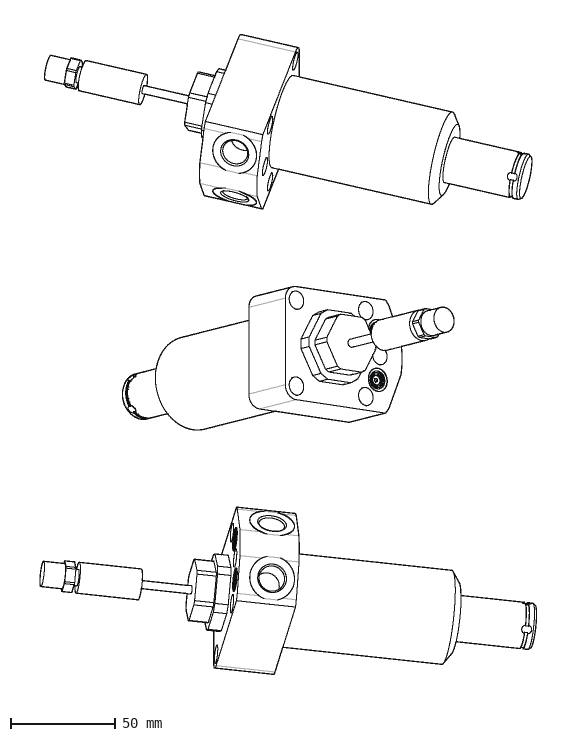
import cadquery as cq
import math


block_length = 28.8
block_half_width = 27.69
block_nose_radius = 43.1
block_corner_radius = 6.5
mount_hole_spacing = 42.0
mount_hole_diameter = 8.8
centre_hole_offset = 29.5

port_angle = 22.8
port_x = 16.35
port_flat_distance = 42.08
port_spotface_depth = 0.25
port_spotface_diameter = 21.8
port_mouth_diameter = 14.0
port_bore_diameter = 12.4
port_depth = 16.0

screw_radial_position = 30.8
screw_pocket_diameter = 11.3
screw_pocket_depth = 0.3
screw_step_diameter = 8.7
screw_step_shrink = 1.35
screw_step_depth = 0.3
screw_step_count = 4
screw_socket_diameter = 1.8
screw_socket_depth = 1.0

lock_nut_width = 34.0
lock_nut_length = 6.5
lock_nut_corner_cut = 2.7
gland_nut_width = 26.8
gland_nut_length = 9.4
gland_nut_corner_cut = 1.3

rod_diameter = 4.0
rod_length = 25.2
sleeve_diameter = 15.0
sleeve_length = 30.3
neck_diameter = 8.0
neck_length = 2.2
jam_nut_width = 13.4
jam_nut_length = 4.8
jam_nut_corner_cut = 0.6
tip_diameter = 12.3
tip_length = 10.3

body_diameter = 45.5
body_straight_length = 79.8
body_taper_length = 3.8
body_end_diameter = 35.0
spigot_diameter = 22.4
spigot_length = 38.16
spigot_chamfer_length = 1.2
spigot_chamfer_height = 0.8
groove_from_end = 4.4
groove_width = 1.5
groove_depth = 0.6
dimple_diameter = 4.4
dimple_depth = 2.1
dimple_count = 4
dimple_start_angle = 45.0

gland_nut_x = -lock_nut_length - gland_nut_length
sleeve_x = gland_nut_x - rod_length - sleeve_length
neck_x = sleeve_x - neck_length
jam_nut_x = neck_x - jam_nut_length
tip_x = jam_nut_x - tip_length
taper_x = block_length + body_straight_length
spigot_x = taper_x + body_taper_length
spigot_end_x = spigot_x + spigot_length
groove_x = spigot_end_x - groove_from_end


def cylinder(start_x, length, diameter, y=0.0, z=0.0):
    """Cylinder along +X from start_x."""
    return cq.Workplane(cq.Solid.makeCylinder(
        diameter / 2, length, cq.Vector(start_x, y, z), cq.Vector(1, 0, 0)))


def radial_cylinder(x, direction, outer, inner, diameter):
    """Cylinder square to the X axis, between two distances from that axis."""
    start = cq.Vector(x, 0, 0) + direction * inner
    return cq.Workplane(cq.Solid.makeCylinder(diameter / 2, outer - inner, start, direction))


def hex_nut(start_x, length, width, corner_cut):
    """Hexagon along X with flats facing +Z and -Z and its six long corners cut flat."""
    across_corners = width / math.cos(math.radians(30))
    return (
        cq.Workplane("YZ", origin=(start_x, 0, 0))
        .polygon(6, across_corners)
        .extrude(length)
        .edges("|X")
        .chamfer(corner_cut)
    )


def make_block():
    """Plate with a nose concentric with the axis and two rounded corners on the far side."""
    w = block_half_width
    nose_edge_y = -math.sqrt(block_nose_radius**2 - w**2)
    block = (
        cq.Workplane("YZ")
        .moveTo(nose_edge_y, -w)
        .lineTo(w, -w)
        .lineTo(w, w)
        .lineTo(nose_edge_y, w)
        .threePointArc((-block_nose_radius, 0), (nose_edge_y, -w))
        .close()
        .extrude(block_length)
    )
    return block.edges("|X and >Y").fillet(block_corner_radius)


def cut_mounting_holes(part):
    half = mount_hole_spacing / 2
    places = [(y, z) for y in (-half, half) for z in (-half, half)]
    places.append((-centre_hole_offset, 0))
    for y, z in places:
        part = part.cut(cylinder(0, block_length, mount_hole_diameter, y, z))
    return part


def side_direction(side):
    """Unit vector from the axis to the port above (side 1) or below (side -1) the middle."""
    angle = math.radians(port_angle)
    return cq.Vector(0, -math.cos(angle), side * math.sin(angle))


def cut_port(part, side):
    """Flat, spotface and blind chamfered bore of one port."""
    direction = side_direction(side)
    seat = port_flat_distance - port_spotface_depth
    mouth_depth = (port_mouth_diameter - port_bore_diameter) / 2
    flat_plane = cq.Plane(origin=direction * port_flat_distance, xDir=(1, 0, 0), normal=direction)
    chip = (
        cq.Workplane(flat_plane)
        .center(block_length / 2, 0)
        .rect(block_length, block_nose_radius)
        .extrude(block_nose_radius)
    )
    mouth = cq.Workplane(cq.Solid.makeCone(
        port_mouth_diameter / 2, port_bore_diameter / 2, mouth_depth,
        cq.Vector(port_x, 0, 0) + direction * seat, direction * -1))
    part = part.cut(chip)
    part = part.cut(radial_cylinder(port_x, direction, block_nose_radius, seat, port_spotface_diameter))
    part = part.cut(radial_cylinder(port_x, direction, seat, seat - port_depth, port_bore_diameter))
    return part.cut(mouth)


def cut_screw(part, side):
    """Shallow pocket in the front face, stepping down in rings to a central socket."""
    centre = side_direction(side) * screw_radial_position
    y, z = centre.y, centre.z
    part = part.cut(cylinder(0, screw_pocket_depth, screw_pocket_diameter, y, z))
    step_x = screw_pocket_depth
    for i in range(screw_step_count):
        diameter = screw_step_diameter - i * screw_step_shrink
        part = part.cut(cylinder(step_x, screw_step_depth, diameter, y, z))
        step_x += screw_step_depth
    return part.cut(cylinder(step_x, screw_socket_depth, screw_socket_diameter, y, z))


def make_body():
    """Cylinder body with a tapered rear shoulder, and the spigot with a chamfered end."""
    body_radius = body_diameter / 2
    spigot_radius = spigot_diameter / 2
    return (
        cq.Workplane("XY")
        .moveTo(block_length, 0)
        .lineTo(block_length, body_radius)
        .lineTo(taper_x, body_radius)
        .lineTo(spigot_x, body_end_diameter / 2)
        .lineTo(spigot_x, spigot_radius)
        .lineTo(spigot_end_x - spigot_chamfer_length, spigot_radius)
        .lineTo(spigot_end_x, spigot_radius - spigot_chamfer_height)
        .lineTo(spigot_end_x, 0)
        .close()
        .revolve(360, (0, 0, 0), (1, 0, 0))
    )


def cut_spigot_details(part):
    """Ring groove near the spigot end and conical locating dimples centred on it."""
    spigot_radius = spigot_diameter / 2
    groove = cylinder(groove_x - groove_width / 2, groove_width, spigot_diameter).cut(
        cylinder(groove_x - groove_width / 2, groove_width, spigot_diameter - 2 * groove_depth))
    rim_distance = math.sqrt(spigot_radius**2 - (dimple_diameter / 2)**2)
    mouth_distance = spigot_radius + groove_depth
    tip_distance = rim_distance - dimple_depth
    cone_slope = dimple_diameter / 2 / dimple_depth
    mouth_radius = (mouth_distance - tip_distance) * cone_slope
    for i in range(dimple_count):
        angle = math.radians(dimple_start_angle + i * 360 / dimple_count)
        direction = cq.Vector(0, math.cos(angle), math.sin(angle))
        mouth_centre = cq.Vector(groove_x, 0, 0) + direction * mouth_distance
        cone = cq.Solid.makeCone(
            mouth_radius, 0, mouth_distance - tip_distance, mouth_centre, direction * -1)
        part = part.cut(cq.Workplane(cone))
    return part.cut(groove)


def make_rod_and_fittings():
    """Gland nuts, rod, sleeve, neck, jam nut and tip, from the block outwards."""
    parts = [
        hex_nut(-lock_nut_length, lock_nut_length, lock_nut_width, lock_nut_corner_cut),
        hex_nut(gland_nut_x, gland_nut_length, gland_nut_width, gland_nut_corner_cut),
        cylinder(gland_nut_x - rod_length, rod_length, rod_diameter),
        cylinder(sleeve_x, sleeve_length, sleeve_diameter),
        cylinder(neck_x, neck_length, neck_diameter),
        hex_nut(jam_nut_x, jam_nut_length, jam_nut_width, jam_nut_corner_cut),
        cylinder(tip_x, tip_length, tip_diameter),
    ]
    joined = parts[0]
    for piece in parts[1:]:
        joined = joined.union(piece)
    return joined


block = cut_mounting_holes(make_block())
for block_side in (1, -1):
    block = cut_port(block, block_side)
    block = cut_screw(block, block_side)
body = cut_spigot_details(make_body())
result = block.union(body).union(make_rod_and_fittings())